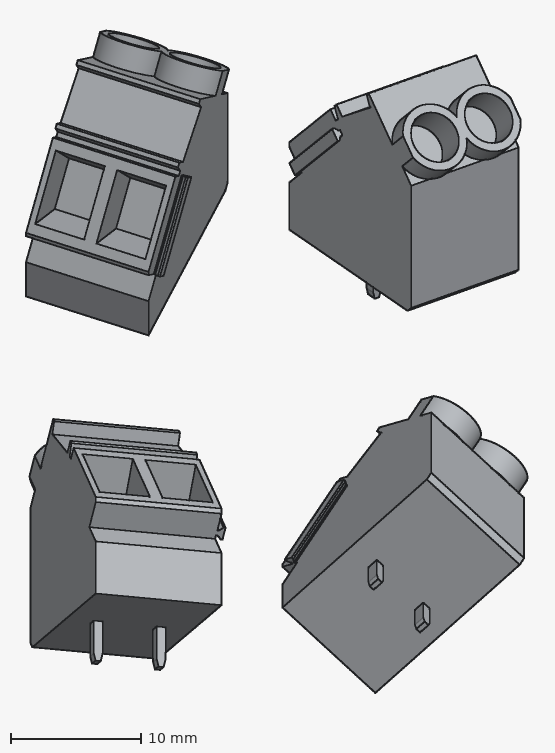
import cadquery as cq
import math


pole_pitch = 5.08
housing_width = 2 * pole_pitch
housing_depth = 16.0
half_width = housing_width / 2
pole_centers = [-pole_pitch / 2, pole_pitch / 2]

front_wall_height = 4.16
notch_depth = 1.57
slope_foot_height = 7.71
back_chamfer = 0.48

slope_length = 7.65
groove_depth = 0.97
groove_floor = 0.41
lip_start = 8.39
lip_top_width = 0.38
lip_back_depth = 1.06
screw_face_distance = 13.82
ridge_drop = 0.93
ridge_top_width = 0.38
ridge_root_width = 0.71
ridge_root_drop = 1.89

collar_diameter = 5.4
collar_height = 2.0
collar_rim_reach = 17.5
screw_hole_diameter = 4.04
screw_hole_depth = 3.05

pocket_width = 4.06
pocket_length = 5.91
pocket_floor_length = 4.07
pocket_depth = 4.68
pocket_center = 3.82

rail_height = 0.6
rail_stem_height = 0.13
rail_rim_height = 0.17
rail_stem_width = 0.45
rail_rim_width = 1.05
rail_inset = 2.0

pin_width = 0.72
pin_depth = 0.9
pin_length = 3.18
pin_tip_length = 0.6
pin_tip_width = 0.42
pin_center_y = 7.55

sin45 = math.sqrt(0.5)
notch_top_height = front_wall_height + 2 * notch_depth


def slope_point(distance, inset):
    """Y and Z of a point a distance up the slope and an inset below its surface."""
    return (
        (distance + inset) * sin45,
        slope_foot_height + (distance - inset) * sin45,
    )


def slope_side_plane(x):
    """Plane across X whose local x runs up the slope and local y points out of it."""
    return cq.Plane(origin=(x, 0, slope_foot_height), xDir=(0, 1, 1), normal=(1, 0, 0))


def make_housing_block():
    groove_end = slope_length + groove_floor
    lip_end = lip_start + lip_top_width
    ridge_start = screw_face_distance - ridge_top_width
    ridge_root = screw_face_distance - ridge_root_width
    screw_face_sum = slope_foot_height + screw_face_distance / sin45
    profile = [
        (0, 0),
        (0, front_wall_height),
        (notch_depth, front_wall_height + notch_depth),
        (0, notch_top_height),
        (0, slope_foot_height),
        slope_point(slope_length, 0),
        slope_point(slope_length, groove_depth),
        slope_point(groove_end, groove_depth),
        slope_point(lip_start, 0),
        slope_point(lip_end, 0),
        slope_point(lip_end, lip_back_depth),
        slope_point(ridge_root, ridge_root_drop),
        slope_point(ridge_start, ridge_drop),
        slope_point(screw_face_distance, ridge_drop),
        (housing_depth, screw_face_sum - housing_depth),
        (housing_depth, back_chamfer),
        (housing_depth - back_chamfer, 0),
    ]
    block = cq.Workplane("YZ").polyline(profile).close().extrude(housing_width)
    return block.translate((-half_width, 0, 0))


def collar_rim_plane():
    """Plane of the collar rims, with its origin on the line of the screw axes."""
    rim_distance = screw_face_distance + collar_height
    axis_y = collar_rim_reach - collar_diameter / 2 * sin45
    axis_inset = axis_y / sin45 - rim_distance
    y, z = slope_point(rim_distance, axis_inset)
    return cq.Plane(origin=(0, y, z), xDir=(1, 0, 0), normal=(0, 1, 1))


def make_collars():
    """Overlapping collars, trimmed flush with the housing sides."""
    rim = cq.Workplane(collar_rim_plane())
    left_collar, right_collar = [
        rim.center(x, 0).circle(collar_diameter / 2).extrude(-collar_height)
        for x in pole_centers
    ]
    trim = rim.rect(housing_width, 2 * collar_diameter).extrude(-collar_height)
    return left_collar.union(right_collar).intersect(trim)


def make_screw_holes():
    centers = [(x, 0) for x in pole_centers]
    rim = cq.Workplane(collar_rim_plane()).pushPoints(centers)
    return rim.circle(screw_hole_diameter / 2).extrude(-screw_hole_depth)


def make_wire_pocket(x):
    outline = [
        (pocket_center - pocket_length / 2, 0),
        (pocket_center + pocket_length / 2, 0),
        (pocket_center + pocket_floor_length / 2, -pocket_depth),
        (pocket_center - pocket_floor_length / 2, -pocket_depth),
    ]
    plane = slope_side_plane(x - pocket_width / 2)
    return cq.Workplane(plane).polyline(outline).close().extrude(pocket_width)


def make_rail():
    """Dovetail rail parallel to the slope, from the notch face up to the groove wall."""
    start = (notch_top_height - slope_foot_height) * sin45
    y, z = slope_point(start, rail_inset)
    plane = cq.Plane(origin=(half_width, y, z), xDir=(1, 0, 0), normal=(0, 1, 1))
    rim_start = rail_height - rail_rim_height
    section = [
        (0, -rail_stem_width / 2),
        (rail_stem_height, -rail_stem_width / 2),
        (rim_start, -rail_rim_width / 2),
        (rail_height, -rail_rim_width / 2),
        (rail_height, rail_rim_width / 2),
        (rim_start, rail_rim_width / 2),
        (rail_stem_height, rail_stem_width / 2),
        (0, rail_stem_width / 2),
    ]
    return cq.Workplane(plane).polyline(section).close().extrude(slope_length - start)


def make_housing():
    housing = make_housing_block().union(make_collars()).union(make_rail())
    housing = housing.cut(make_screw_holes())
    for x in pole_centers:
        housing = housing.cut(make_wire_pocket(x))
    return housing


def make_pin(x):
    """Solder pin hanging from the housing underside, narrowing in X at its tip."""
    shoulder = pin_tip_length - pin_length
    outline = [
        (x - pin_width / 2, 0),
        (x - pin_width / 2, shoulder),
        (x - pin_tip_width / 2, -pin_length),
        (x + pin_tip_width / 2, -pin_length),
        (x + pin_width / 2, shoulder),
        (x + pin_width / 2, 0),
    ]
    plane = cq.Workplane("XZ", origin=(0, pin_center_y, 0))
    return plane.polyline(outline).close().extrude(pin_depth / 2, both=True)


housing = make_housing()
pins = [make_pin(x) for x in pole_centers]

result = cq.Compound.makeCompound([housing.solids().val(), *[pin.solids().val() for pin in pins]])